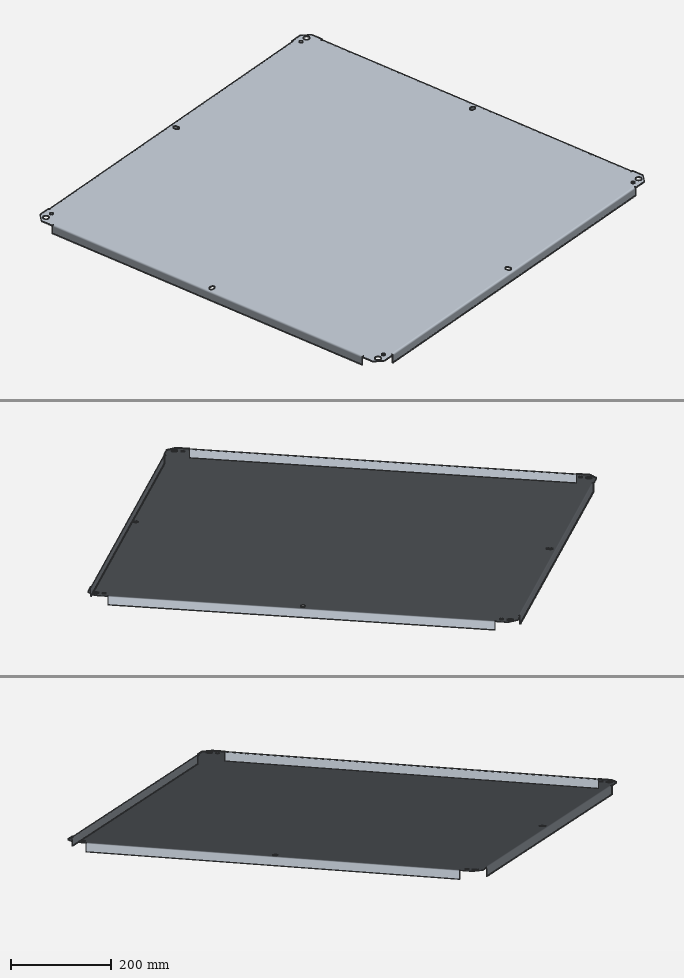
import cadquery as cq

side = 869.0
height = 20.0
sheet = 2.0
bend_radius = 2 * sheet
flange_inset = 43.0
corner_cut = 16.5

hole_inset = 16.0
corner_hole_diameter = 13.0
small_hole_diameter = 7.9
small_hole_spacing = 17.0
slot_length = 14.0
slot_width = 9.5

half_side = side / 2
flange_length = side - 2 * flange_inset
hole_offset = half_side - hole_inset
small_hole_offset = hole_offset - small_hole_spacing


def make_plate():
    """Flat sheet with cut corners, its top face at Z = 0."""
    plate = cq.Workplane("XY").box(side, side, sheet, centered=(True, True, False))
    return plate.translate((0, 0, -sheet)).edges("|Z").chamfer(corner_cut)


def make_flange():
    """Folded lip along the +X edge, with a rounded bend."""
    bend_start = half_side - bend_radius
    inner_radius = bend_radius - sheet
    diagonal = 0.5 ** 0.5
    outer_mid = (bend_start + bend_radius * diagonal, bend_radius * (diagonal - 1))
    inner_mid = (bend_start + inner_radius * diagonal, inner_radius * diagonal - bend_radius)
    return (
        cq.Workplane("XZ")
        .moveTo(bend_start, 0)
        .threePointArc(outer_mid, (half_side, -bend_radius))
        .lineTo(half_side, -height)
        .lineTo(half_side - sheet, -height)
        .lineTo(half_side - sheet, -bend_radius)
        .threePointArc(inner_mid, (bend_start, -sheet))
        .close()
        .extrude(flange_length / 2, both=True)
    )


def make_bend_clearance():
    """Strip of flat sheet along the +X edge that the bend replaces."""
    strip = cq.Workplane("XY").box(bend_radius, flange_length, height)
    return strip.translate((half_side - bend_radius / 2, 0, 0))


def through_cut(points):
    """Workplane above the sheet, ready to sketch cutters at the points."""
    return cq.Workplane("XY").workplane(offset=-height).pushPoints(points)


def mirrored_points(x, y):
    return [(sx * x, sy * y) for sx in (-1, 1) for sy in (-1, 1)]


result = make_plate()

for angle in (0, 90, 180, 270):
    axis = ((0, 0, 0), (0, 0, 1), angle)
    result = result.cut(make_bend_clearance().rotate(*axis))
    result = result.union(make_flange().rotate(*axis))

corner_holes = through_cut(mirrored_points(hole_offset, hole_offset))
result = result.cut(corner_holes.circle(corner_hole_diameter / 2).extrude(2 * height))
small_holes = through_cut(mirrored_points(hole_offset, small_hole_offset))
result = result.cut(small_holes.circle(small_hole_diameter / 2).extrude(2 * height))

x_slots = through_cut([(-hole_offset, 0), (hole_offset, 0)])
result = result.cut(x_slots.slot2D(slot_length, slot_width).extrude(2 * height))
y_slots = through_cut([(0, -hole_offset), (0, hole_offset)])
result = result.cut(y_slots.slot2D(slot_length, slot_width, 90).extrude(2 * height))